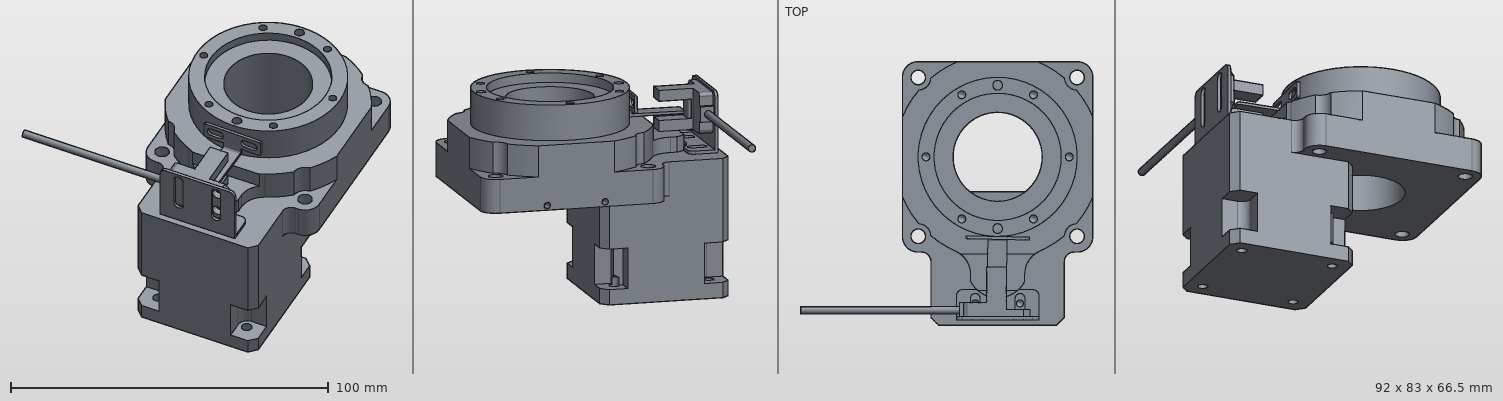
import cadquery as cq
import math


DRILL_TIP_ANGLE = 118

MOTOR_SIZE = 42.05
MOTOR_FRONT_Y = -53.0
MOTOR_Y = MOTOR_FRONT_Y + MOTOR_SIZE / 2
MOTOR_CHAMFER = 2.5
NOTCH_SIZE = 8.5
NOTCH_BOTTOM_Z = 5.0
NOTCH_TOP_Z = 18.0
NOTCH_CORNER = 3.1
FOOT_HOLE_DIAMETER = 3.2
FOOT_HOLE_INSET = 5.5
FOOT_HOLE_DEPTH = 7.4

FLANGE_WIDTH = 60.0
FLANGE_BOTTOM_Z = 34.0
FLANGE_TOP_Z = 45.0
FLANGE_CORNER_RADIUS = 5.0
FLANGE_MOTOR_FILLET = 2.9
MOUNT_PITCH = 50.0
MOUNT_HOLE_DIAMETER = 4.5
SIDE_HOLE_DIAMETER = 2.0
SIDE_HOLE_SPACING = 19.0
SIDE_HOLE_RISE = 1.6
SIDE_HOLE_DEPTH = 4.6
COLLAR_RADIUS = 32.5
COLLAR_TOP_Z = 55.0
COLLAR_FRONT_Y = -30.55
RELIEF_RADIUS = 4.0

NECK_WIDTH = 17.0
NECK_TOP_Z = 50.0
NECK_FILLET = 8.0
NOSE_RADIUS = 9.6
NOSE_Y = -34.8
NECK_FRONT_Y = -42.05

TABLE_RADIUS = 25.0
TABLE_TOP_Z = 66.5
RECESS_DIAMETER = 40.0
RECESS_DEPTH = 3.0
BORE_DIAMETER = 28.0
TABLE_HOLE_CIRCLE_RADIUS = 22.5
TABLE_HOLE_COUNT = 6
TABLE_HOLE_DIAMETER = 2.5
TABLE_HOLE_DEPTH = 6.0
PIN_HOLE_DIAMETER = 3.0

BRACKET_WIDTH = 26.0
BRACKET_HEIGHT = 19.7
BRACKET_LENGTH = 9.5
BRACKET_THICKNESS = 1.0
BRACKET_FRONT_Y = -51.25
BRACKET_CORNER_RADIUS = 2.0
BRACKET_BEND_RADIUS = 0.5
WALL_SLOT_LENGTH = 13.25
WALL_SLOT_WIDTH = 3.2
WALL_SLOT_SPACING = 13.1
WALL_SLOT_Z = 57.1
BASE_SLOT_LENGTH = 6.3
BASE_SLOT_WIDTH = 3.0
BASE_SLOT_SPACING = 14.1
BRACKET_SCREW_Y = -46.1
BRACKET_SCREW_DIAMETER = 2.2
BRACKET_SCREW_DEPTH = 4.6

SENSOR_BACK_Y = BRACKET_FRONT_Y + BRACKET_THICKNESS
SENSOR_Z = 57.4
SENSOR_HEIGHT = 13.25
SENSOR_LEFT_X = -10.7
SENSOR_RIGHT_X = 10.1
SENSOR_DEPTH = 4.4
SENSOR_CORNER_RADIUS = 1.1
EAR_DEPTH = 2.3
EAR_CHAMFER = 2.0
EAR_HOLE_DIAMETER = 3.3
EAR_HOLE_X = WALL_SLOT_SPACING / 2
EAR_HOLE_SPACING = 7.0
FORK_X = -0.4
FORK_WIDTH = 6.2
FORK_TIP_Y = -34.7
FORK_GAP = 6.2
FORK_GAP_END_Y = -45.3
GAP_RIB_INSET = 0.5
GAP_RIB_DEPTH = 1.1
GAP_RIB_ROUND = 0.4
CABLE_BOSS_LEFT_X = -12.05
CABLE_BOSS_HEIGHT = 5.0
CABLE_DIAMETER = 2.4
CABLE_Y = -48.3
OVERALL_LENGTH = 92.0
CABLE_END_X = FLANGE_WIDTH / 2 - OVERALL_LENGTH

FLAG_TURN = -1.2
FLAG_THICKNESS = 0.9
FLAG_WIDTH = 20.0
FLAG_TOP_Z = 64.0
FLAG_HEIGHT = 5.5
FLAG_CORNER_RADIUS = 0.55
FLAG_SLOT_LENGTH = 5.7
FLAG_SLOT_WIDTH = 2.8
FLAG_SLOT_SPACING = 12.0
TAB_WIDTH = 6.1
TAB_BOTTOM_Z = 56.0
TAB_LENGTH = 18.1
TAB_CORNER_RADIUS = 0.8
FLAG_BEND_RADIUS = 0.4


def box(x_min, x_max, y_min, y_max, z_min, z_max):
    """Block between the given limits."""
    size = (x_max - x_min, y_max - y_min, z_max - z_min)
    return cq.Workplane("XY").box(*size, centered=False).translate((x_min, y_min, z_min))


def cylinder(diameter, z_min, z_max, x=0, y=0):
    """Upright cylinder between two heights."""
    return cq.Workplane("XY", origin=(x, y, z_min)).circle(diameter / 2).extrude(z_max - z_min)


def drill(diameter, depth, entry, direction):
    """Blind drilled hole with a conical tip; depth is that of its cylindrical part."""
    radius = diameter / 2
    tip_length = radius / math.tan(math.radians(DRILL_TIP_ANGLE / 2))
    start = cq.Vector(*entry)
    axis = cq.Vector(*direction)
    shank = cq.Solid.makeCylinder(radius, depth, start, axis)
    tip = cq.Solid.makeCone(radius, 0, tip_length, start + axis * depth, axis)
    return cq.Workplane(shank.fuse(tip))


def corner_notch(right, front):
    """Screw access at one corner of the motor, above its foot.

    The front notches have a round inner corner; the rear ones leave a square core standing there.
    """
    notch = box(0, NOTCH_SIZE, 0, NOTCH_SIZE, NOTCH_BOTTOM_Z, NOTCH_TOP_Z)
    inner_edge = notch.edges("|Z and >X and >Y")
    if front:
        notch = inner_edge.fillet(NOTCH_CORNER)
    else:
        core_start = NOTCH_SIZE - NOTCH_CORNER
        notch = notch.cut(box(core_start, NOTCH_SIZE, core_start, NOTCH_SIZE, NOTCH_BOTTOM_Z, NOTCH_TOP_Z))
    half = MOTOR_SIZE / 2
    if right:
        notch = notch.mirror("YZ")
    if not front:
        notch = notch.mirror("XZ")
    return notch.translate((half if right else -half, MOTOR_Y + (-half if front else half), 0))


def make_motor():
    motor = (
        cq.Workplane("XY", origin=(0, MOTOR_Y, 0))
        .rect(MOTOR_SIZE, MOTOR_SIZE)
        .extrude(FLANGE_TOP_Z)
        .edges("|Z")
        .chamfer(MOTOR_CHAMFER)
    )
    for right in (False, True):
        for front in (False, True):
            motor = motor.cut(corner_notch(right, front))
    hole_offset = MOTOR_SIZE / 2 - FOOT_HOLE_INSET
    for x in (-hole_offset, hole_offset):
        for y in (MOTOR_Y - hole_offset, MOTOR_Y + hole_offset):
            motor = motor.cut(drill(FOOT_HOLE_DIAMETER, FOOT_HOLE_DEPTH, (x, y, 0), (0, 0, 1)))
    for x in (-BASE_SLOT_SPACING / 2, BASE_SLOT_SPACING / 2):
        entry = (x, BRACKET_SCREW_Y, FLANGE_TOP_Z)
        motor = motor.cut(drill(BRACKET_SCREW_DIAMETER, BRACKET_SCREW_DEPTH, entry, (0, 0, -1)))
    return motor


def make_flange():
    flange = (
        cq.Workplane("XY", origin=(0, 0, FLANGE_BOTTOM_Z))
        .rect(FLANGE_WIDTH, FLANGE_WIDTH)
        .extrude(FLANGE_TOP_Z - FLANGE_BOTTOM_Z)
        .edges("|Z")
        .fillet(FLANGE_CORNER_RADIUS)
    )
    for side in (-1, 1):
        flange = flange.union(flange_motor_fillet(side))
    flange = flange.cut(
        cq.Workplane("XY", origin=(0, 0, FLANGE_BOTTOM_Z))
        .rect(MOUNT_PITCH, MOUNT_PITCH, forConstruction=True)
        .vertices()
        .circle(MOUNT_HOLE_DIAMETER / 2)
        .extrude(FLANGE_TOP_Z - FLANGE_BOTTOM_Z)
    )
    for y in (-SIDE_HOLE_SPACING / 2, SIDE_HOLE_SPACING / 2):
        entry = (-FLANGE_WIDTH / 2, y, FLANGE_BOTTOM_Z + SIDE_HOLE_RISE)
        flange = flange.cut(drill(SIDE_HOLE_DIAMETER, SIDE_HOLE_DEPTH, entry, (1, 0, 0)))
    return flange


def flange_motor_fillet(side):
    """Concave web between the flange's front edge and one side of the motor."""
    corner_x = side * MOTOR_SIZE / 2
    corner_y = -FLANGE_WIDTH / 2
    center = (corner_x + side * FLANGE_MOTOR_FILLET, corner_y - FLANGE_MOTOR_FILLET)
    reach = FLANGE_MOTOR_FILLET * math.sqrt(0.5)
    return (
        cq.Workplane("XY", origin=(0, 0, FLANGE_BOTTOM_Z))
        .moveTo(corner_x, corner_y)
        .lineTo(center[0], corner_y)
        .threePointArc((center[0] - side * reach, center[1] + reach), (corner_x, center[1]))
        .close()
        .extrude(FLANGE_TOP_Z - FLANGE_BOTTOM_Z)
    )


def neck_outline():
    """Neck from the collar's centre to its round nose, with fillets tangent to collar and neck sides."""
    half = NECK_WIDTH / 2
    fillet_x = half + NECK_FILLET
    center_distance = COLLAR_RADIUS + NECK_FILLET
    fillet_y = -math.sqrt(center_distance**2 - fillet_x**2)
    tangent_x = fillet_x * COLLAR_RADIUS / center_distance
    tangent_y = fillet_y * COLLAR_RADIUS / center_distance
    middle_angle = math.atan2(tangent_y - fillet_y, tangent_x - fillet_x) / 2 + math.pi / 2
    middle_x = fillet_x + NECK_FILLET * math.cos(middle_angle)
    middle_y = fillet_y + NECK_FILLET * math.sin(middle_angle)
    nose_start_y = NOSE_Y - math.sqrt(NOSE_RADIUS**2 - half**2)
    return (
        cq.Workplane("XY", origin=(0, 0, FLANGE_TOP_Z))
        .moveTo(0, 0)
        .lineTo(tangent_x, tangent_y)
        .threePointArc((middle_x, middle_y), (half, fillet_y))
        .lineTo(half, nose_start_y)
        .threePointArc((0, NOSE_Y - NOSE_RADIUS), (-half, nose_start_y))
        .lineTo(-half, fillet_y)
        .threePointArc((-middle_x, middle_y), (-tangent_x, tangent_y))
        .close()
    )


def make_collar():
    half = FLANGE_WIDTH / 2
    full_height = cylinder(2 * COLLAR_RADIUS, FLANGE_TOP_Z, COLLAR_TOP_Z)
    full_height = full_height.union(neck_outline().extrude(COLLAR_TOP_Z - FLANGE_TOP_Z))
    collar = full_height.intersect(box(-half, half, COLLAR_FRONT_Y, half, FLANGE_TOP_Z, COLLAR_TOP_Z))
    neck = neck_outline().extrude(NECK_TOP_Z - FLANGE_TOP_Z)
    neck = neck.intersect(box(-half, half, NECK_FRONT_Y, 0, FLANGE_TOP_Z, NECK_TOP_Z))
    reliefs = (
        cq.Workplane("XY", origin=(0, 0, FLANGE_TOP_Z))
        .rect(MOUNT_PITCH, MOUNT_PITCH, forConstruction=True)
        .vertices()
        .circle(RELIEF_RADIUS)
        .extrude(COLLAR_TOP_Z - FLANGE_TOP_Z)
    )
    return collar.union(neck).cut(reliefs)


def cut_table_holes(actuator):
    for index in range(TABLE_HOLE_COUNT):
        angle = 2 * math.pi * index / TABLE_HOLE_COUNT
        x = TABLE_HOLE_CIRCLE_RADIUS * math.cos(angle)
        y = TABLE_HOLE_CIRCLE_RADIUS * math.sin(angle)
        entry = (x, y, TABLE_TOP_Z)
        actuator = actuator.cut(drill(TABLE_HOLE_DIAMETER, TABLE_HOLE_DEPTH, entry, (0, 0, -1)))
    for y in (-TABLE_HOLE_CIRCLE_RADIUS, TABLE_HOLE_CIRCLE_RADIUS):
        pin_hole = cylinder(PIN_HOLE_DIAMETER, TABLE_TOP_Z - TABLE_HOLE_DEPTH, TABLE_TOP_Z, y=y)
        actuator = actuator.cut(pin_hole)
    return actuator


def make_actuator():
    table = cylinder(2 * TABLE_RADIUS, COLLAR_TOP_Z, TABLE_TOP_Z)
    actuator = make_motor().union(make_flange()).union(make_collar()).union(table)
    actuator = actuator.cut(cylinder(BORE_DIAMETER, FLANGE_BOTTOM_Z, TABLE_TOP_Z))
    actuator = actuator.cut(cylinder(RECESS_DIAMETER, TABLE_TOP_Z - RECESS_DEPTH, TABLE_TOP_Z))
    return cut_table_holes(actuator)


def make_bracket():
    """Bent angle: a base slotted for two screws and a wall slotted for the sensor."""
    half = BRACKET_WIDTH / 2
    rear_y = BRACKET_FRONT_Y + BRACKET_LENGTH
    base_top_z = FLANGE_TOP_Z + BRACKET_THICKNESS
    wall_top_z = FLANGE_TOP_Z + BRACKET_HEIGHT
    base = box(-half, half, BRACKET_FRONT_Y, rear_y, FLANGE_TOP_Z, base_top_z)
    base = base.edges("|Z and >Y").fillet(BRACKET_CORNER_RADIUS)
    wall = box(-half, half, BRACKET_FRONT_Y, SENSOR_BACK_Y, FLANGE_TOP_Z, wall_top_z)
    wall = wall.edges("|Y and >Z").fillet(BRACKET_CORNER_RADIUS)
    bracket = base.union(wall)
    bracket = bracket.edges("|X and <Y and <Z").fillet(BRACKET_BEND_RADIUS)
    wall_slots = (
        cq.Workplane("XZ", origin=(0, SENSOR_BACK_Y, WALL_SLOT_Z))
        .pushPoints([(-WALL_SLOT_SPACING / 2, 0), (WALL_SLOT_SPACING / 2, 0)])
        .slot2D(WALL_SLOT_LENGTH, WALL_SLOT_WIDTH, 90)
        .extrude(BRACKET_THICKNESS)
    )
    base_slots = (
        cq.Workplane("XY", origin=(0, BRACKET_SCREW_Y, FLANGE_TOP_Z))
        .pushPoints([(-BASE_SLOT_SPACING / 2, 0), (BASE_SLOT_SPACING / 2, 0)])
        .slot2D(BASE_SLOT_LENGTH, BASE_SLOT_WIDTH, 90)
        .extrude(BRACKET_THICKNESS)
    )
    nose_clearance = cylinder(2 * NOSE_RADIUS, FLANGE_TOP_Z, base_top_z, y=NOSE_Y)
    return bracket.cut(wall_slots).cut(base_slots).cut(nose_clearance)


def make_sensor():
    """Fork sensor: a body with a cable on the left, a drilled ear on the right and a forked arm.

    A narrow rib stands on the end wall of the fork's gap.
    """
    bottom_z = SENSOR_Z - SENSOR_HEIGHT / 2
    top_z = SENSOR_Z + SENSOR_HEIGHT / 2
    body_rear_y = SENSOR_BACK_Y + SENSOR_DEPTH
    body = box(SENSOR_LEFT_X, FORK_X, SENSOR_BACK_Y, body_rear_y, bottom_z, top_z)
    body = body.edges("|Y and <X").fillet(SENSOR_CORNER_RADIUS)
    ear = box(FORK_X, SENSOR_RIGHT_X, SENSOR_BACK_Y, SENSOR_BACK_Y + EAR_DEPTH, bottom_z, top_z)
    ear = ear.edges("|Y and >X").chamfer(EAR_CHAMFER)
    ear_holes = (
        cq.Workplane("XZ", origin=(EAR_HOLE_X, SENSOR_BACK_Y + EAR_DEPTH, SENSOR_Z))
        .pushPoints([(0, -EAR_HOLE_SPACING / 2), (0, EAR_HOLE_SPACING / 2)])
        .circle(EAR_HOLE_DIAMETER / 2)
        .extrude(EAR_DEPTH)
    )
    fork_left_x = FORK_X - FORK_WIDTH / 2
    fork_right_x = FORK_X + FORK_WIDTH / 2
    fork = box(fork_left_x, fork_right_x, SENSOR_BACK_Y, FORK_TIP_Y, bottom_z, top_z)
    gap_bottom_z = SENSOR_Z - FORK_GAP / 2
    gap_top_z = gap_bottom_z + FORK_GAP
    gap = box(fork_left_x, fork_right_x, FORK_GAP_END_Y, FORK_TIP_Y, gap_bottom_z, gap_top_z)
    rib_left_x = fork_left_x + GAP_RIB_INSET
    rib_right_x = fork_right_x - GAP_RIB_INSET
    rib_front_y = FORK_GAP_END_Y + GAP_RIB_DEPTH
    rib = box(rib_left_x, rib_right_x, FORK_GAP_END_Y, rib_front_y, gap_bottom_z, gap_top_z)
    rib = rib.edges("|Z and >Y").fillet(GAP_RIB_ROUND)
    boss_bottom_z = SENSOR_Z - CABLE_BOSS_HEIGHT / 2
    boss_top_z = boss_bottom_z + CABLE_BOSS_HEIGHT
    boss = box(CABLE_BOSS_LEFT_X, SENSOR_LEFT_X, SENSOR_BACK_Y, body_rear_y, boss_bottom_z, boss_top_z)
    cable = (
        cq.Workplane("YZ", origin=(CABLE_END_X, CABLE_Y, SENSOR_Z))
        .circle(CABLE_DIAMETER / 2)
        .extrude(CABLE_BOSS_LEFT_X - CABLE_END_X)
    )
    fork = fork.cut(gap).union(rib)
    return body.union(ear.cut(ear_holes)).union(fork).union(boss).union(cable)


def make_flag():
    """Bent flag: a slotted plate against the turntable and a tab that passes through the fork."""
    half = FLAG_WIDTH / 2
    tab_half = TAB_WIDTH / 2
    plate_bottom_z = FLAG_TOP_Z - FLAG_HEIGHT
    plate = box(-half, half, -FLAG_THICKNESS, 0, plate_bottom_z, FLAG_TOP_Z)
    plate = plate.edges("|Y").fillet(FLAG_CORNER_RADIUS)
    slots = (
        cq.Workplane("XZ", origin=(0, 0, plate_bottom_z + FLAG_HEIGHT / 2))
        .pushPoints([(-FLAG_SLOT_SPACING / 2, 0), (FLAG_SLOT_SPACING / 2, 0)])
        .slot2D(FLAG_SLOT_LENGTH, FLAG_SLOT_WIDTH)
        .extrude(FLAG_THICKNESS)
    )
    stem = box(-tab_half, tab_half, -FLAG_THICKNESS, 0, TAB_BOTTOM_Z, plate_bottom_z)
    tab = box(-tab_half, tab_half, -TAB_LENGTH, 0, TAB_BOTTOM_Z, TAB_BOTTOM_Z + FLAG_THICKNESS)
    tab = tab.edges("|Z and <Y").fillet(TAB_CORNER_RADIUS)
    bend_edge = cq.selectors.NearestToPointSelector((0, -FLAG_THICKNESS, TAB_BOTTOM_Z + FLAG_THICKNESS))
    bent_tab = stem.union(tab).edges("|X").edges(bend_edge).fillet(FLAG_BEND_RADIUS)
    flag = plate.cut(slots).union(bent_tab)
    rim_y = -TABLE_RADIUS / math.cos(math.radians(FLAG_TURN))
    return flag.rotate((0, 0, 0), (0, 0, 1), FLAG_TURN).translate((0, rim_y, 0))


actuator = make_actuator()
bracket = make_bracket()
sensor = make_sensor()
flag = make_flag()
result = cq.Compound.makeCompound(
    [
        actuator.solids().val(),
        bracket.solids().val(),
        sensor.solids().val(),
        flag.solids().val(),
    ]
)